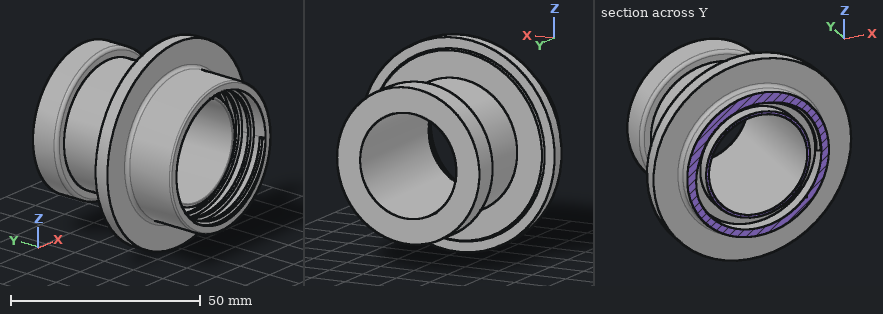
import cadquery as cq
import math


flange_radius = 29.0
flange_front = 14.95
flange_thickness = 4.0
flange_back = flange_front + flange_thickness
length = 46.8

hub_radius = 20.9
hub_root_fillet = 1.0
hub_mouth_fillet = 0.45

seat_height = 0.8
seat_base_radius = 26.05
seat_top_radius = 25.65
seat_back = flange_back + seat_height

neck_radius = 18.25
collar_radius = 21.2
collar_length = 8.25
collar_front = length - collar_length
collar_fillet = 1.0

bore_radius = 14.3
tube_radius = 15.3
tube_front = 7.9
tube_edge_fillet = 0.2

socket_radius = 18.5
socket_depth = flange_front
thread_pitch = 4.0
thread_turns = 3
ridge_height = 0.85
ridge_crest_width = 0.9
ridge_flank_width = 0.4
ridge_embed = 0.2


def body_profile():
    """Half section of the part, radius along X and axis along Y."""
    fillet_mid = math.sqrt(0.5)
    mouth_centre_r = hub_radius - hub_mouth_fillet
    root_centre_r = hub_radius + hub_root_fillet
    root_centre_y = flange_front - hub_root_fillet
    collar_centre_r = collar_radius - collar_fillet
    collar_centre_y = collar_front + collar_fillet
    edge = tube_edge_fillet
    return (
        cq.Workplane("XY")
        .moveTo(socket_radius, 0)
        .lineTo(mouth_centre_r, 0)
        .threePointArc(
            (mouth_centre_r + hub_mouth_fillet * fillet_mid, hub_mouth_fillet * (1 - fillet_mid)),
            (hub_radius, hub_mouth_fillet),
        )
        .lineTo(hub_radius, root_centre_y)
        .threePointArc(
            (root_centre_r - hub_root_fillet * fillet_mid, root_centre_y + hub_root_fillet * fillet_mid),
            (root_centre_r, flange_front),
        )
        .lineTo(flange_radius, flange_front)
        .lineTo(flange_radius, flange_back)
        .lineTo(seat_base_radius, flange_back)
        .lineTo(seat_top_radius, seat_back)
        .lineTo(neck_radius, seat_back)
        .lineTo(neck_radius, collar_front)
        .lineTo(collar_centre_r, collar_front)
        .threePointArc(
            (collar_centre_r + collar_fillet * fillet_mid, collar_centre_y - collar_fillet * fillet_mid),
            (collar_radius, collar_centre_y),
        )
        .lineTo(collar_radius, length)
        .lineTo(bore_radius, length)
        .lineTo(bore_radius, tube_front + edge)
        .threePointArc(
            (bore_radius + edge * (1 - fillet_mid), tube_front + edge * (1 - fillet_mid)),
            (bore_radius + edge, tube_front),
        )
        .lineTo(tube_radius - edge, tube_front)
        .threePointArc(
            (tube_radius - edge * (1 - fillet_mid), tube_front + edge * (1 - fillet_mid)),
            (tube_radius, tube_front + edge),
        )
        .lineTo(tube_radius, socket_depth)
        .lineTo(socket_radius, socket_depth)
        .close()
    )


def thread_ridge():
    """Right-handed ridge, starting flush with the mouth at +X and running inward from the mouth."""
    flank_slope = ridge_flank_width / ridge_height
    crest_radius = socket_radius - ridge_height
    embed_radius = socket_radius + ridge_embed
    crest_front = ridge_flank_width
    crest_back = crest_front + ridge_crest_width
    embed_spread = (ridge_height + ridge_embed) * flank_slope

    helix = cq.Wire.makeHelix(thread_pitch, thread_pitch * thread_turns, socket_radius)
    ridge = (
        cq.Workplane("XZ")
        .polyline([
            (embed_radius, crest_front - embed_spread),
            (crest_radius, crest_front),
            (crest_radius, crest_back),
            (embed_radius, crest_back + embed_spread),
        ])
        .close()
        .sweep(cq.Workplane(obj=helix), isFrenet=True)
    )
    ridge = ridge.rotate((0, 0, 0), (1, 0, 0), -90)
    socket_envelope = cq.Workplane("XZ").circle(hub_radius).extrude(-socket_depth)
    return ridge.intersect(socket_envelope)


body = body_profile().revolve(360, (0, 0, 0), (0, 1, 0))
result = body.union(thread_ridge())